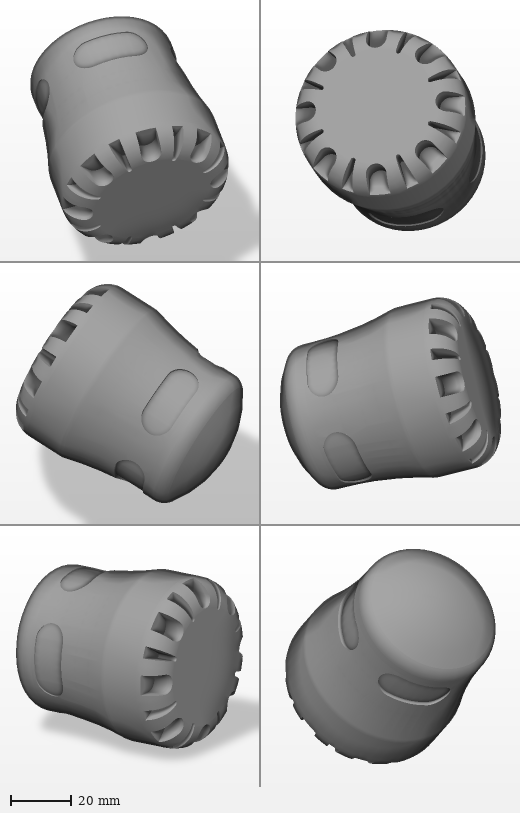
import cadquery as cq
import math

NOSE_X = 0.0
TOTAL_LENGTH = 67.78

DOME_RADIUS = 37.5
NECK_RADIUS = 49.3 / 2
NOSE_BLEND_RADIUS = 5.6
NECK_END = 14.7

COLLAR_RADIUS = 58.0 / 2
COLLAR_START = 46.4
COLLAR_BLEND_RADIUS = 6.0
REAR_ROUND_RADIUS = 8.9

RECESS_COUNT = 4
RECESS_START = 16.0
RECESS_WIDTH = 11.1
RECESS_LENGTH = 25.3
RECESS_FLOOR_RADIUS = 24.1

NOTCHES_PER_KIND = 8
NOTCH_DEPTH = 7.1
WIDE_NOTCH_WIDTH = 7.0
WIDE_NOTCH_FLOOR = 20.3
NARROW_NOTCH_FLOOR = 19.2
NARROW_NOTCH_FLOOR_WIDTH = 1.6
NARROW_NOTCH_WALL_ANGLE = 8.0

CLEARANCE = 5.0


def point_on_circle(center, radius, degrees):
    angle = math.radians(degrees)
    return (center[0] + radius * math.cos(angle), center[1] + radius * math.sin(angle))


def direction(start, end):
    """Angle in degrees of the line from start to end."""
    return math.degrees(math.atan2(end[1] - start[1], end[0] - start[0]))


def make_body():
    rear_x = NOSE_X + TOTAL_LENGTH

    dome_center = (NOSE_X + DOME_RADIUS, 0)
    blend_height = NECK_RADIUS - NOSE_BLEND_RADIUS
    blend_offset = math.sqrt((DOME_RADIUS - NOSE_BLEND_RADIUS) ** 2 - blend_height**2)
    blend_center = (dome_center[0] - blend_offset, blend_height)
    dome_angle = direction(dome_center, blend_center)
    dome_middle = point_on_circle(dome_center, DOME_RADIUS, (180 + dome_angle) / 2)
    dome_end = point_on_circle(dome_center, DOME_RADIUS, dome_angle)
    blend_middle = point_on_circle(blend_center, NOSE_BLEND_RADIUS, (dome_angle + 90) / 2)

    flare_run = COLLAR_START - NECK_END
    flare_rise = COLLAR_RADIUS - NECK_RADIUS
    flare_radius = (flare_run**2 + flare_rise**2) / (2 * flare_rise) - COLLAR_BLEND_RADIUS
    flare_center = (NOSE_X + NECK_END, NECK_RADIUS + flare_radius)
    collar_blend_center = (NOSE_X + COLLAR_START, COLLAR_RADIUS - COLLAR_BLEND_RADIUS)
    flare_angle = direction(flare_center, collar_blend_center)
    collar_angle = flare_angle + 180
    flare_middle = point_on_circle(flare_center, flare_radius, (flare_angle - 90) / 2)
    flare_end = point_on_circle(flare_center, flare_radius, flare_angle)
    collar_middle = point_on_circle(
        collar_blend_center, COLLAR_BLEND_RADIUS, (collar_angle + 90) / 2
    )

    rear_center = (rear_x - REAR_ROUND_RADIUS, COLLAR_RADIUS - REAR_ROUND_RADIUS)
    rear_middle = point_on_circle(rear_center, REAR_ROUND_RADIUS, 45)

    profile = (
        cq.Workplane("XY")
        .moveTo(NOSE_X, 0)
        .threePointArc(dome_middle, dome_end)
        .threePointArc(blend_middle, (blend_center[0], NECK_RADIUS))
        .lineTo(NOSE_X + NECK_END, NECK_RADIUS)
        .threePointArc(flare_middle, flare_end)
        .threePointArc(collar_middle, (NOSE_X + COLLAR_START, COLLAR_RADIUS))
        .lineTo(rear_center[0], COLLAR_RADIUS)
        .threePointArc(rear_middle, (rear_x, rear_center[1]))
        .lineTo(rear_x, 0)
        .close()
    )
    return profile.revolve(360, (0, 0, 0), (1, 0, 0))


def make_recess_cutter():
    """Round-ended block over the +Z side, hollowed to leave a cylindrical floor."""
    middle_x = NOSE_X + RECESS_START + RECESS_WIDTH / 2
    block = (
        cq.Workplane("XY")
        .center(middle_x, 0)
        .slot2D(RECESS_LENGTH, RECESS_WIDTH, 90)
        .extrude(COLLAR_RADIUS + CLEARANCE)
    )
    core = (
        cq.Workplane("YZ", origin=(middle_x - RECESS_WIDTH, 0, 0))
        .circle(RECESS_FLOOR_RADIUS)
        .extrude(2 * RECESS_WIDTH)
    )
    return block.cut(core)


def make_notch_cutter(floor_width, floor, wall_angle=0.0):
    """Notch on the +Z side whose walls run tangent to a round bottom along X."""
    floor_radius = floor_width / 2
    floor_center = (0, floor + floor_radius)
    wall_start = point_on_circle(floor_center, floor_radius, -wall_angle)
    outer = COLLAR_RADIUS + CLEARANCE
    lean = (outer - wall_start[1]) * math.tan(math.radians(wall_angle))
    outer_half_width = wall_start[0] + lean
    start_x = NOSE_X + TOTAL_LENGTH - NOTCH_DEPTH
    return (
        cq.Workplane("YZ", origin=(start_x, 0, 0))
        .moveTo(-outer_half_width, outer)
        .lineTo(-wall_start[0], wall_start[1])
        .threePointArc((0, floor), wall_start)
        .lineTo(outer_half_width, outer)
        .close()
        .extrude(NOTCH_DEPTH + CLEARANCE)
    )


def cut_around_axis(body, cutter, count, first_angle=0.0):
    for index in range(count):
        angle = first_angle + index * 360 / count
        body = body.cut(cutter.rotate((0, 0, 0), (1, 0, 0), angle))
    return body


wide_notch = make_notch_cutter(WIDE_NOTCH_WIDTH, WIDE_NOTCH_FLOOR)
narrow_notch = make_notch_cutter(
    NARROW_NOTCH_FLOOR_WIDTH, NARROW_NOTCH_FLOOR, NARROW_NOTCH_WALL_ANGLE
)
half_notch_pitch = 360 / NOTCHES_PER_KIND / 2

result = make_body()
result = cut_around_axis(result, make_recess_cutter(), RECESS_COUNT)
result = cut_around_axis(result, wide_notch, NOTCHES_PER_KIND)
result = cut_around_axis(result, narrow_notch, NOTCHES_PER_KIND, half_notch_pitch)